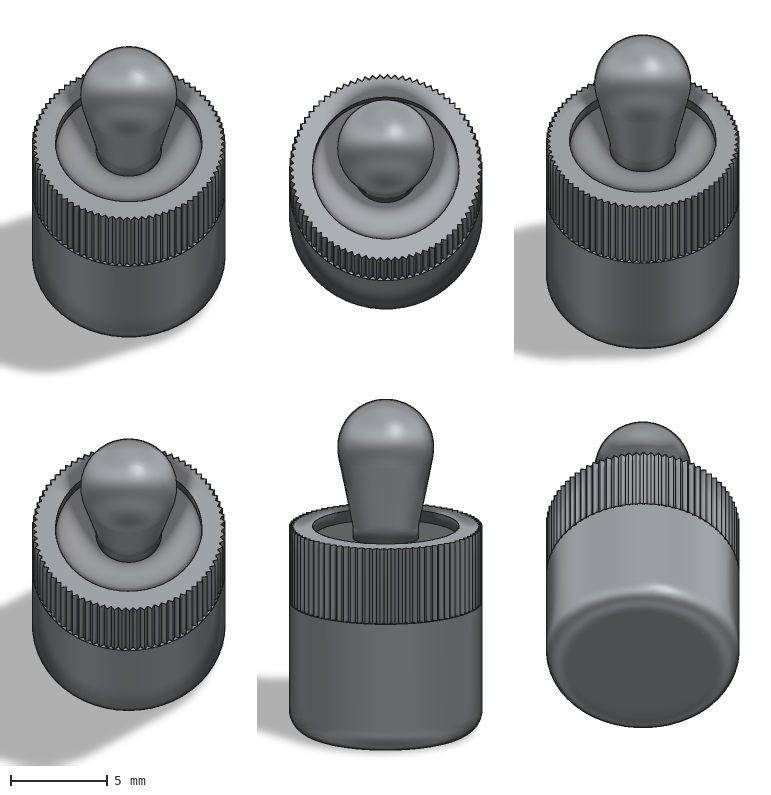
import cadquery as cq
import math

HOUSING_DIAMETER = 10.0
HOUSING_HEIGHT = 11.0
BOTTOM_FILLET = 1.2
RECESS_DIAMETER = 7.6
RECESS_DEPTH = 0.6

KNURL_HEIGHT = 4.0
KNURL_TEETH = 80
GROOVE_ANGLE = 90

OVERALL_HEIGHT = 17.7
BALL_DIAMETER = 5.0
STEM_DIAMETER = 3.4

HOUSING_RADIUS = HOUSING_DIAMETER / 2
KNURL_BASE = HOUSING_HEIGHT - KNURL_HEIGHT
RECESS_FLOOR = HOUSING_HEIGHT - RECESS_DEPTH
BALL_RADIUS = BALL_DIAMETER / 2
BALL_CENTER = OVERALL_HEIGHT - BALL_RADIUS
STEM_RADIUS = STEM_DIAMETER / 2
STEM_TOP = HOUSING_HEIGHT


def polar_point(radius, angle):
    return (radius * math.cos(angle), radius * math.sin(angle))


def knurl_outline():
    """Closed ring of alternating groove roots and crests, with a root on +X."""
    half_pitch = math.pi / KNURL_TEETH
    half_groove_width = HOUSING_RADIUS * math.sin(half_pitch)
    groove_depth = half_groove_width / math.tan(math.radians(GROOVE_ANGLE / 2))
    root_radius = HOUSING_RADIUS * math.cos(half_pitch) - groove_depth
    points = []
    for tooth in range(KNURL_TEETH):
        root_angle = 2 * half_pitch * tooth
        points.append(polar_point(root_radius, root_angle))
        points.append(polar_point(HOUSING_RADIUS, root_angle + half_pitch))
    return points


def make_housing():
    barrel = cq.Workplane("XY").circle(HOUSING_RADIUS).extrude(KNURL_BASE)
    barrel = barrel.faces("<Z").edges().fillet(BOTTOM_FILLET)
    knurl = (
        cq.Workplane("XY", origin=(0, 0, KNURL_BASE))
        .polyline(knurl_outline())
        .close()
        .extrude(KNURL_HEIGHT)
    )
    recess = (
        cq.Workplane("XY", origin=(0, 0, RECESS_FLOOR))
        .circle(RECESS_DIAMETER / 2)
        .extrude(RECESS_DEPTH)
    )
    return barrel.union(knurl).cut(recess)


def ball_point(angle):
    """Point of the ball's profile at an angle above the ball's equator."""
    radial, height = polar_point(BALL_RADIUS, angle)
    return (radial, BALL_CENTER + height)


def make_lever():
    stem_drop = STEM_TOP - BALL_CENTER
    stem_direction = math.atan2(stem_drop, STEM_RADIUS)
    stem_distance = math.hypot(STEM_RADIUS, stem_drop)
    tangent_angle = stem_direction + math.acos(BALL_RADIUS / stem_distance)
    arc_middle_angle = (tangent_angle + math.pi / 2) / 2
    return (
        cq.Workplane("XZ")
        .moveTo(0, RECESS_FLOOR)
        .lineTo(STEM_RADIUS, RECESS_FLOOR)
        .lineTo(STEM_RADIUS, STEM_TOP)
        .lineTo(*ball_point(tangent_angle))
        .threePointArc(ball_point(arc_middle_angle), (0, OVERALL_HEIGHT))
        .close()
        .revolve(360, (0, 0, 0), (0, 1, 0))
    )


housing = make_housing()
lever = make_lever()

result = cq.Compound.makeCompound([housing.val(), lever.val()])